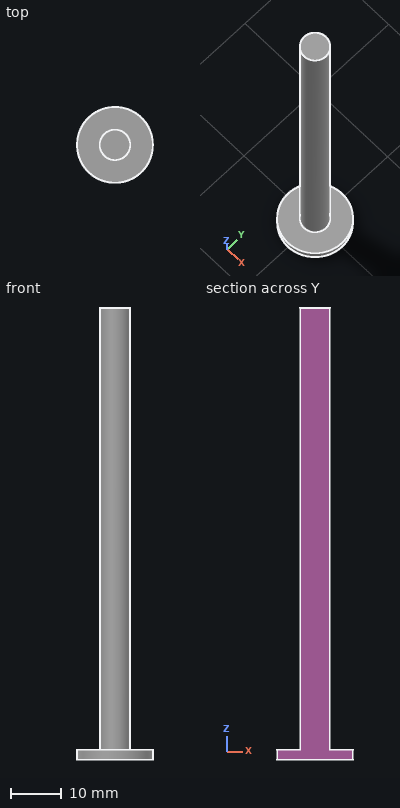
import cadquery as cq

total_length = 89.0
head_diameter = 15.0
head_thickness = 2.0
rod_diameter = 6.0


def make_head():
    """Flat round head resting on the XY plane."""
    return cq.Workplane("XY").circle(head_diameter / 2).extrude(head_thickness)


def add_rod(head):
    """Cylindrical rod rising from the centre of the head to the full length."""
    rod_length = total_length - head_thickness
    return head.faces(">Z").workplane().circle(rod_diameter / 2).extrude(rod_length)


result = add_rod(make_head())